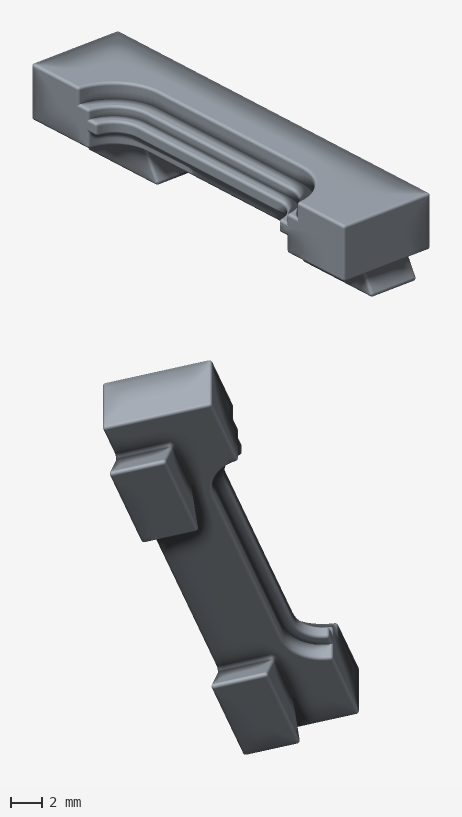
import cadquery as cq
import math

length = 30.6
depth = 7.3
bar_height = 4.0
total_height = 6.8
edge_radius = 0.2

arc_centre_x = 6.98
arc_centre_y = -edge_radius
upper_radius = 3.7
middle_radius = 2.72
lip_radius = 1.95
upper_step_depth = 1.2
middle_step_depth = 0.7
lip_thickness = 0.92
upper_floor_z = bar_height - upper_step_depth
lip_top_z = upper_floor_z - middle_step_depth
lip_bottom_z = lip_top_z - lip_thickness

foot_centre_x = 10.5
foot_width = 7.13
foot_depth = 3.8
foot_height = total_height - bar_height
flank_angle = 60.0

tolerance = 0.01


def recess(radius, z_low, z_high):
    """Cutter with half-round ends, straddling the front face, between two heights."""
    return (
        cq.Workplane("XY", origin=(0, arc_centre_y, z_low))
        .slot2D(2 * (arc_centre_x + radius), 2 * radius)
        .extrude(z_high - z_low)
    )


def bar():
    """Block with the recess cut into its front, leaving a thin lip part-way down."""
    block = cq.Workplane("XY").box(length, depth, bar_height, centered=(True, False, False))
    return (
        block.cut(recess(upper_radius, upper_floor_z, bar_height))
        .cut(recess(middle_radius, lip_top_z, upper_floor_z))
        .cut(recess(lip_radius, lip_bottom_z, lip_top_z))
        .cut(recess(middle_radius, 0, lip_bottom_z))
    )


def foot(centre_x):
    """Dovetail block that widens downwards from the underside of the bar."""
    half_bottom = foot_width / 2
    half_top = half_bottom - foot_height / math.tan(math.radians(flank_angle))
    return (
        cq.Workplane("XZ", origin=(centre_x, depth, 0))
        .moveTo(-half_bottom, -foot_height)
        .lineTo(half_bottom, -foot_height)
        .lineTo(half_top, 0)
        .lineTo(-half_top, 0)
        .close()
        .extrude(foot_depth)
    )


def is_recess_corner(edge):
    """True where a recess wall meets the floor or ceiling of its step."""
    middle = edge.positionAt(0.5)
    beyond_arc_centre = max(abs(middle.x) - arc_centre_x, 0)
    radius_here = math.hypot(beyond_arc_centre, middle.y - arc_centre_y)
    corners = (
        (upper_radius, upper_floor_z),
        (middle_radius, lip_top_z),
        (middle_radius, lip_bottom_z),
    )
    return any(
        abs(radius_here - radius) < tolerance and abs(middle.z - z) < tolerance
        for radius, z in corners
    )


def is_smooth_seam(edge):
    """True where a straight recess wall runs tangentially into its rounded end."""
    upright = abs(edge.tangentAt(0.5).z) > 1 - tolerance
    return upright and abs(abs(edge.positionAt(0.5).x) - arc_centre_x) < tolerance


def round_edges(body):
    """Round all edges except the sharp inner corners and smooth seams of the recess."""
    edges = [
        edge for edge in body.edges().vals()
        if not is_recess_corner(edge) and not is_smooth_seam(edge)
    ]
    return body.newObject(edges).fillet(edge_radius)


sharp_body = bar()
for side in (-1, 1):
    sharp_body = sharp_body.union(foot(side * foot_centre_x))

result = round_edges(sharp_body)